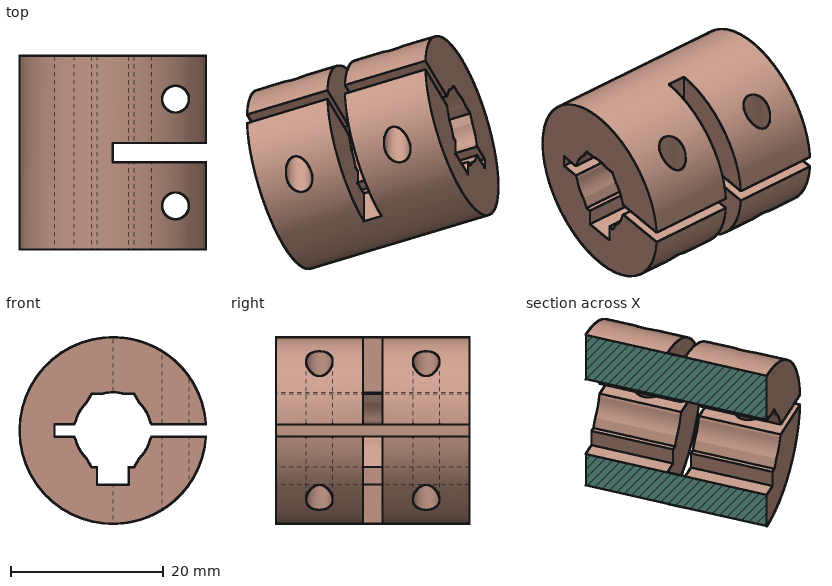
import cadquery as cq
import math

LENGTH = 25.4
OUTER_DIAMETER = 24.45
outer_radius = OUTER_DIAMETER / 2

ROUND_BORE_DIAMETER = 10.0
HEX_ACROSS_FLATS = 9.6
hex_across_corners = HEX_ACROSS_FLATS / math.cos(math.pi / 6)

KEYWAY_WIDTH = 4.15
KEYWAY_DEPTH = 7.09

SLIT_WIDTH = 1.6
SLIT_REACH = 7.62

CROSS_SLOT_WIDTH = 2.5

SCREW_HOLE_DIAMETER = 3.48
SCREW_HOLE_X = 8.2
SCREW_HOLE_SPACING = 13.97


def centred_box(x_min, x_max, length, z_min, z_max):
    """Box between the given X and Z limits, centred along Y."""
    centre = ((x_min + x_max) / 2, 0, (z_min + z_max) / 2)
    return cq.Workplane("XY").box(x_max - x_min, length, z_max - z_min).translate(centre)


def along_axis():
    return cq.Workplane("XZ", origin=(0, LENGTH / 2, 0))


body = along_axis().circle(outer_radius).extrude(LENGTH)

round_bore = along_axis().circle(ROUND_BORE_DIAMETER / 2).extrude(LENGTH)
hex_bore = along_axis().polygon(6, hex_across_corners).extrude(LENGTH)

keyway = centred_box(-KEYWAY_WIDTH / 2, KEYWAY_WIDTH / 2, LENGTH, -KEYWAY_DEPTH, 0)
slit = centred_box(-SLIT_REACH, outer_radius, LENGTH, -SLIT_WIDTH / 2, SLIT_WIDTH / 2)
cross_slot = centred_box(0, outer_radius, CROSS_SLOT_WIDTH, -outer_radius, outer_radius)

screw_holes = (
    cq.Workplane("XY", origin=(SCREW_HOLE_X, 0, -outer_radius))
    .rarray(0.25, SCREW_HOLE_SPACING, 1, 2)
    .circle(SCREW_HOLE_DIAMETER / 2)
    .extrude(OUTER_DIAMETER)
)

result = body
for cutter in (round_bore, hex_bore, keyway, slit, cross_slot, screw_holes):
    result = result.cut(cutter)